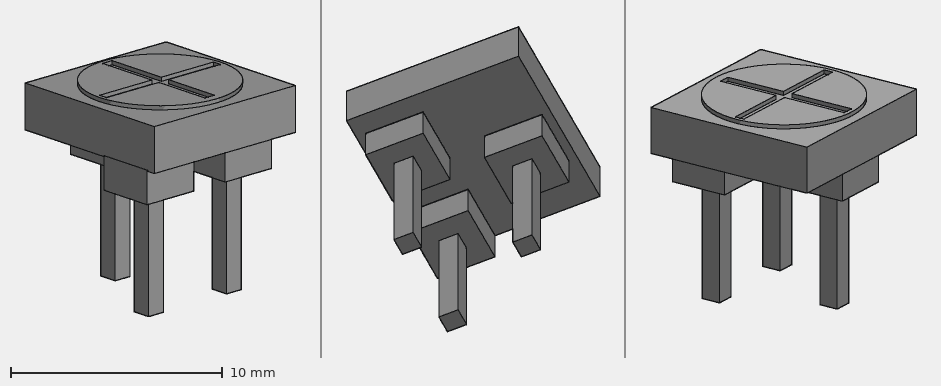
import cadquery as cq

total_height = 10.25
housing_x = 8.97
housing_y = 9.1
housing_height = 2.34

dial_diameter = 7.81
dial_height = 0.2
dial_x = -0.03
dial_y = 0.02
slot_depth = dial_height
cross_slot_length = 7.1
cross_slot_width = 0.62
cross_slot_x = -0.14
main_slot_length = 7.35
main_slot_width = 0.49

foot_size = 3.0
foot_height = 1.67
foot_seat = 0.05
leg_x = 1.0
leg_y = 0.96
terminal_pitch_x = 5.02
terminal_pitch_y = 2.51
left_terminal_x = -2.53

housing_bottom = -housing_height
foot_top = housing_bottom + foot_seat
foot_bottom = housing_bottom - foot_height
leg_bottom = dial_height - total_height
right_terminal_x = left_terminal_x + terminal_pitch_x
front_terminal_y = (foot_size - housing_y) / 2
middle_terminal_y = front_terminal_y + terminal_pitch_y
rear_terminal_y = middle_terminal_y + terminal_pitch_y
terminal_places = [
    (right_terminal_x, front_terminal_y),
    (left_terminal_x, middle_terminal_y),
    (right_terminal_x, rear_terminal_y),
]


def block(size_x, size_y, bottom, top, x=0, y=0):
    """Upright box centred on (x, y) between two levels."""
    return (
        cq.Workplane("XY", origin=(x, y, bottom))
        .rect(size_x, size_y)
        .extrude(top - bottom)
    )


def make_housing():
    """Rectangular block with a shallow recess for each terminal foot."""
    body = block(housing_x, housing_y, housing_bottom, 0)
    for x, y in terminal_places:
        body = body.cut(block(foot_size, foot_size, housing_bottom, foot_top, x, y))
    return body


def make_dial():
    """Flat disc with two crossing screwdriver slots."""
    disc = cq.Workplane("XY", origin=(dial_x, dial_y, 0)).circle(dial_diameter / 2).extrude(dial_height)
    slot_floor = dial_height - slot_depth
    cross_slot = block(cross_slot_length, cross_slot_width, slot_floor, dial_height, cross_slot_x, dial_y)
    main_slot = block(main_slot_width, main_slot_length, slot_floor, dial_height, dial_x, dial_y)
    return disc.cut(cross_slot).cut(main_slot)


def make_terminal(x, y):
    """Square foot seated in the housing, with its leg."""
    foot = block(foot_size, foot_size, foot_bottom, foot_top, x, y)
    leg = block(leg_x, leg_y, leg_bottom, foot_bottom, x, y)
    return foot.union(leg)


housing = make_housing()
dial = make_dial()
terminals = [make_terminal(x, y) for x, y in terminal_places]

result = cq.Compound.makeCompound(
    [housing.val(), dial.val(), *[terminal.val() for terminal in terminals]]
)